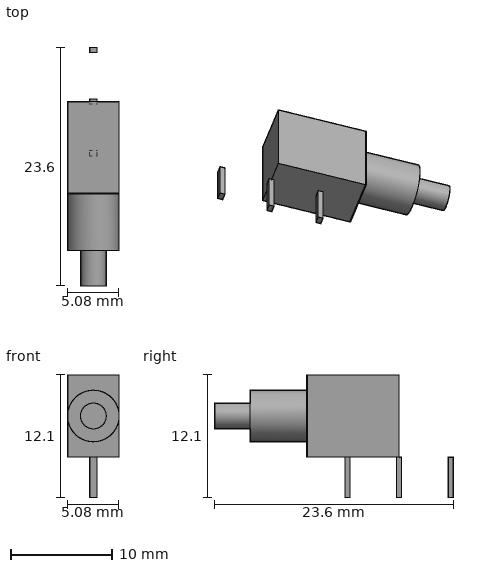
import cadquery as cq

width = 5.08
housing_height = 8.12
axis_height = housing_height / 2

plunger_length = 3.5
bushing_length = 5.58
flange_thickness = 0.1
housing_depth = 9.02
overall_length = 23.55

bushing_diameter = width
plunger_diameter = bushing_diameter / 2

flange_front = plunger_length + bushing_length
housing_front = flange_front + flange_thickness

pin_count = 3
pin_width = 0.75
pin_thickness = 0.52
pin_length = 4.0
pin_pitch = 5.08
last_pin_y = overall_length - pin_thickness / 2


def upright_block(depth, front):
    """Block of the housing's outline, with its front face at Y = front."""
    block = cq.Workplane("XY").box(width, depth, housing_height, centered=(True, False, False))
    return block.translate((0, front, 0))


def axis_cylinder(diameter, length, front):
    """Cylinder on the push axis, running towards +Y from Y = front."""
    start = cq.Workplane("XZ", origin=(0, front, axis_height))
    return start.circle(diameter / 2).extrude(-length)


def make_housing():
    return upright_block(housing_depth, housing_front)


def make_bushing():
    """Round bushing with a thin rectangular flange covering the housing front."""
    flange = upright_block(flange_thickness, flange_front)
    return flange.union(axis_cylinder(bushing_diameter, bushing_length, plunger_length))


def make_plunger():
    return axis_cylinder(plunger_diameter, plunger_length, 0)


def make_pin(y):
    """Flat terminal pin hanging down from the level of the housing base."""
    pin = cq.Workplane("XY").box(pin_width, pin_thickness, pin_length, centered=(True, True, False))
    return pin.translate((0, y, -pin_length))


housing = make_housing()
bushing = make_bushing()
plunger = make_plunger()
pins = [make_pin(last_pin_y - i * pin_pitch) for i in range(pin_count)]

result = cq.Compound.makeCompound(
    [housing.val(), bushing.val(), plunger.val(), *[pin.val() for pin in pins]]
)